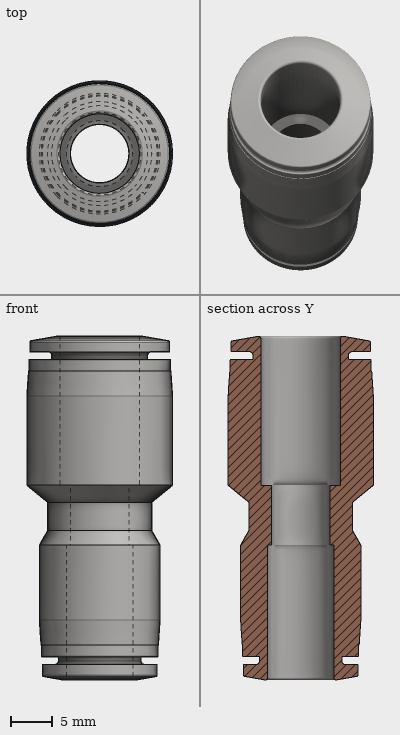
import math

import cadquery as cq


TOTAL_LENGTH = 41.3
FLOW_DIAMETER = 7.0

WAIST_DIAMETER = 12.5
WAIST_TOP_DEPTH = 19.95
WAIST_BOTTOM_DEPTH = 23.35

UPPER_BODY_DEPTH = 17.9
LOWER_BODY_DEPTH = 16.2

COLLET_WALL = 1.0
FACE_SLOPE = math.radians(10)
MOUTH_RADIUS = 0.3
RIM_RADIUS = 0.2
FLANGE_DEPTH = 1.9
COLLET_FILLET = 0.4

BODY_END_DEPTH = 2.8
BODY_END_FILLET = 0.1
STEP_DEPTH = 4.2
TAPER_END_DEPTH = 7.2
RING_EXTRA = 0.2
STEP_HEIGHT = 0.05


def make_port(bore_diameter, flange_diameter, body_diameter, body_depth, waist_depth):
    """Solid port with its collet, body and cone down to the waist, drilled for the tube."""
    bore_radius = bore_diameter / 2
    flange_radius = flange_diameter / 2
    body_radius = body_diameter / 2
    waist_radius = WAIST_DIAMETER / 2
    collet_radius = bore_radius + COLLET_WALL
    ring_radius = (flange_diameter + RING_EXTRA) / 2
    taper_radius = ring_radius + STEP_HEIGHT

    slope_start_radius = bore_radius + MOUTH_RADIUS * (1 + math.sin(FACE_SLOPE))
    slope_start_depth = MOUTH_RADIUS * (1 - math.cos(FACE_SLOPE))
    rim_start_radius = flange_radius - RIM_RADIUS * (1 - math.sin(FACE_SLOPE))
    slope_width = rim_start_radius - slope_start_radius
    rim_start_depth = slope_start_depth + slope_width * math.tan(FACE_SLOPE)
    rim_end_depth = rim_start_depth + RIM_RADIUS * math.cos(FACE_SLOPE)

    profile = (
        cq.Workplane("XZ")
        .moveTo(bore_radius, -MOUTH_RADIUS)
        .radiusArc((slope_start_radius, -slope_start_depth), MOUTH_RADIUS)
        .lineTo(rim_start_radius, -rim_start_depth)
        .radiusArc((flange_radius, -rim_end_depth), RIM_RADIUS)
        .lineTo(flange_radius, -FLANGE_DEPTH)
        .lineTo(collet_radius + COLLET_FILLET, -FLANGE_DEPTH)
        .radiusArc((collet_radius, -FLANGE_DEPTH - COLLET_FILLET), -COLLET_FILLET)
        .lineTo(collet_radius, -BODY_END_DEPTH)
        .lineTo(ring_radius - BODY_END_FILLET, -BODY_END_DEPTH)
        .radiusArc((ring_radius, -BODY_END_DEPTH - BODY_END_FILLET), BODY_END_FILLET)
        .lineTo(ring_radius, -STEP_DEPTH)
        .lineTo(taper_radius, -STEP_DEPTH)
        .lineTo(body_radius, -TAPER_END_DEPTH)
        .lineTo(body_radius, -body_depth)
        .lineTo(waist_radius, -waist_depth)
        .lineTo(FLOW_DIAMETER / 2, -waist_depth)
        .lineTo(FLOW_DIAMETER / 2, -body_depth)
        .lineTo(bore_radius, -body_depth)
        .close()
    )
    return profile.revolve(360, (0, 0, 0), (0, 1, 0))


def make_waist():
    """Plain tube joining the two ports."""
    return (
        cq.Workplane("XY", origin=(0, 0, TOTAL_LENGTH - WAIST_BOTTOM_DEPTH))
        .circle(WAIST_DIAMETER / 2)
        .circle(FLOW_DIAMETER / 2)
        .extrude(WAIST_BOTTOM_DEPTH - WAIST_TOP_DEPTH)
    )


upper_port = make_port(
    bore_diameter=9.53,
    flange_diameter=16.8,
    body_diameter=17.5,
    body_depth=UPPER_BODY_DEPTH,
    waist_depth=WAIST_TOP_DEPTH,
).translate((0, 0, TOTAL_LENGTH))

lower_port = make_port(
    bore_diameter=7.94,
    flange_diameter=13.8,
    body_diameter=14.5,
    body_depth=LOWER_BODY_DEPTH,
    waist_depth=TOTAL_LENGTH - WAIST_BOTTOM_DEPTH,
).rotate((0, 0, 0), (1, 0, 0), 180)

result = upper_port.union(make_waist()).union(lower_port)